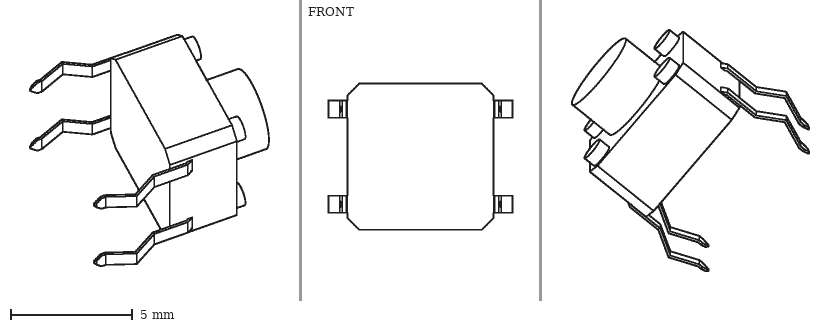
import cadquery as cq
import math


total_length = 8.52
pin_span = 7.57

housing_side = 6.01
housing_depth = housing_side / 2
corner_chamfer = 0.49

plunger_diameter = 3.49
plunger_height = 2.0
stud_diameter = 1.0
stud_height = 0.5
stud_offset = 2.25

pin_width = 0.715
pin_thickness = 0.1
pin_offset_z = 1.95
pin_reach = total_length - plunger_height - housing_depth
pin_stem_x = 3.15
pin_end_x = 3.31
root_y = 1.005
stem_top_y = 0.74
stem_bottom_y = -0.77
knee_y = -1.84
pin_end_top_y = -3.02
tip_taper_length = 0.315
tip_bevel_length = 0.1
tip_bevel_depth = 0.06


def make_housing():
    block = cq.Workplane("XZ").rect(housing_side, housing_side).extrude(-housing_depth)
    return block.edges("|Y").chamfer(corner_chamfer)


def make_post(x, z, diameter, height):
    """Round post standing on the top face of the housing."""
    top_face = cq.Workplane("XZ", origin=(x, housing_depth, z))
    return top_face.circle(diameter / 2).extrude(-height)


def mitred_offset(path, distance):
    """Points of an open path shifted to the right of its direction, with mitred corners."""
    headings = [math.atan2(y1 - y0, x1 - x0) for (x0, y0), (x1, y1) in zip(path, path[1:])]
    before = headings[:1] + headings
    after = headings + headings[-1:]
    shifted = []
    for (x, y), heading_in, heading_out in zip(path, before, after):
        middle = (heading_in + heading_out) / 2
        length = distance / math.cos((heading_out - heading_in) / 2)
        shifted.append((x + length * math.sin(middle), y - length * math.cos(middle)))
    return shifted


def make_pin():
    """Pin on the +X side, with its width centred on Z = 0."""
    housing_x = housing_side / 2
    root_slope = (root_y - stem_top_y) / (pin_stem_x - housing_x)
    outer_face = [
        (housing_x - pin_thickness, root_y + root_slope * pin_thickness),
        (pin_stem_x, stem_top_y),
        (pin_stem_x, stem_bottom_y),
        (pin_span / 2, knee_y),
        (pin_end_x, pin_end_top_y),
        (pin_end_x, -pin_reach),
    ]
    inner_face = mitred_offset(outer_face, pin_thickness)
    bevelled_tip = [
        (pin_end_x, -pin_reach + tip_bevel_length),
        (pin_end_x - tip_bevel_depth, -pin_reach),
    ]
    profile = outer_face[:-1] + bevelled_tip + inner_face[::-1]
    strip = cq.Workplane("XY").polyline(profile).close().extrude(pin_width / 2, both=True)

    half_width = pin_width / 2
    tip_half_width = half_width - tip_taper_length
    taper_top_y = -pin_reach + tip_taper_length
    outline = [
        (housing_depth, half_width),
        (taper_top_y, half_width),
        (-pin_reach, tip_half_width),
        (-pin_reach, -tip_half_width),
        (taper_top_y, -half_width),
        (housing_depth, -half_width),
    ]
    envelope = cq.Workplane("YZ").polyline(outline).close().extrude(pin_span)
    return strip.intersect(envelope)


result = make_housing().union(make_post(0, 0, plunger_diameter, plunger_height))

right_pin = make_pin()
left_pin = right_pin.mirror("YZ")
for side in (-1, 1):
    for x in (-stud_offset, stud_offset):
        result = result.union(make_post(x, side * stud_offset, stud_diameter, stud_height))
    for pin in (left_pin, right_pin):
        result = result.union(pin.translate((0, 0, side * pin_offset_z)))